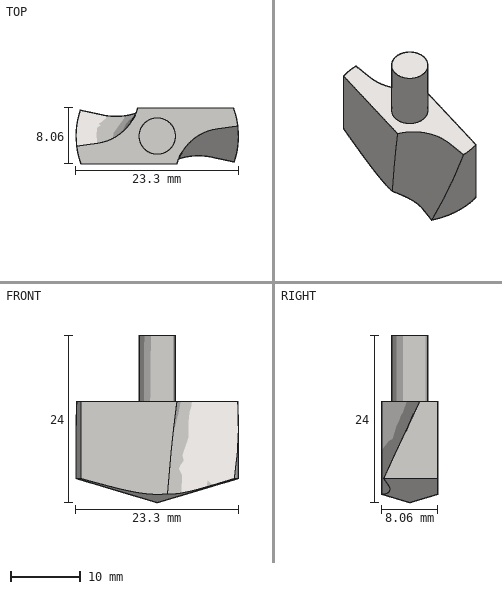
import cadquery as cq
import math

total_height = 24
body_width = 23.3
body_thickness = 8.06
body_top = 14.55
shoulder_height = 3.48
shank_diameter = 5.2

flute_radius = 6.98
flute_center_x = 9.55
flute_center_y = -5.88
face_angle = 7.8
twist_angle = 33.9

body_radius = body_width / 2
outer_reach = 1.3 * body_radius


def arc_point(angle):
    """Point on the flute arc at an angle in degrees from +X."""
    turn = math.radians(angle)
    return (
        flute_center_x + flute_radius * math.cos(turn),
        flute_center_y + flute_radius * math.sin(turn),
    )


def make_blank():
    """Revolved body with a conical tip, flattened to the blade thickness."""
    profile = [
        (0, 0),
        (body_radius, shoulder_height),
        (body_radius, body_top),
        (0, body_top),
    ]
    turned = cq.Workplane("XZ").polyline(profile).close().revolve(360, (0, 0), (0, 1))
    slab = cq.Workplane("XY").box(body_width, body_thickness, body_top, centered=(True, True, False))
    return turned.intersect(slab)


def make_flute():
    """Twisted tool: a straight cutting face tangent to a round flute wall."""
    tangent_angle = 90 + face_angle
    tangent_x, tangent_y = arc_point(tangent_angle)
    face_end_y = tangent_y + (outer_reach - tangent_x) * math.tan(math.radians(face_angle))
    wall_end = arc_point(180)
    section = (
        cq.Workplane("XY")
        .moveTo(outer_reach, face_end_y)
        .lineTo(tangent_x, tangent_y)
        .threePointArc(arc_point((tangent_angle + 180) / 2), wall_end)
        .lineTo(wall_end[0], -outer_reach)
        .lineTo(outer_reach, -outer_reach)
        .close()
    )
    return section.twistExtrude(body_top, twist_angle).rotate((0, 0, 0), (0, 0, 1), -twist_angle)


body = make_blank()
flute = make_flute()
for turn in (0, 180):
    body = body.cut(flute.rotate((0, 0, 0), (0, 0, 1), turn))

shank = (
    cq.Workplane("XY")
    .workplane(offset=body_top)
    .circle(shank_diameter / 2)
    .extrude(total_height - body_top)
)

result = body.union(shank)